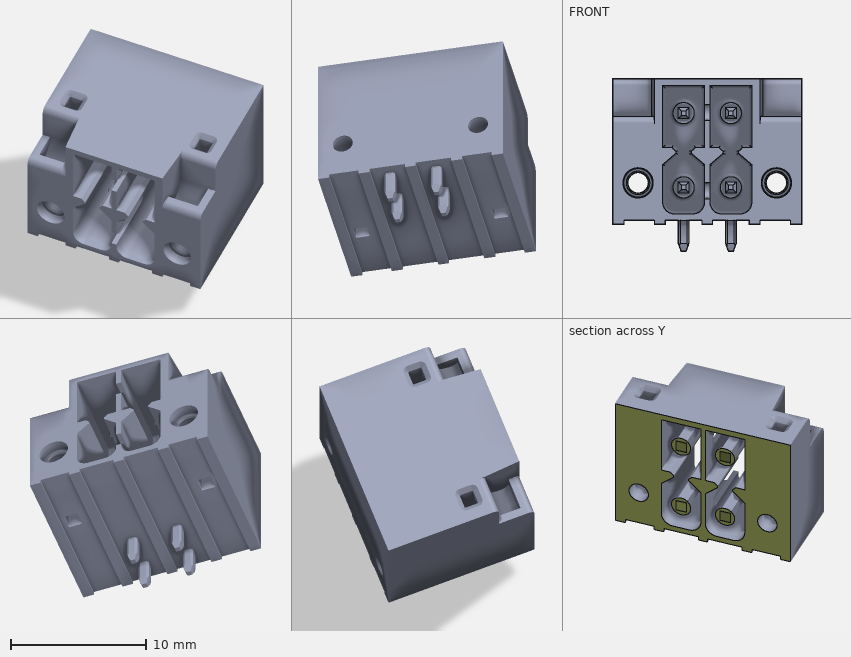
import cadquery as cq
import math


width = 14.0
depth = 11.6
height = 10.8
half_width = width / 2

foot_height = 0.3
middle_foot_half = 0.39
inner_foot_near = 3.1
inner_foot_far = 3.92
outer_foot_inset = 0.84

step_depth = 2.8
step_floor_z = height - step_depth
step_round = 0.5
tongue_half_front = 3.92
tongue_half_back = 4.15

scoop_side_wall = 0.59
scoop_radius = 1.4
scoop_lip_radius = 0.48
scoop_front_y = 0.87

square_hole_x = 5.25
square_hole_y = 4.52
square_hole_size = 1.06
square_hole_round = 0.08
square_hole_chamfer = 0.35
mouth_overrun = 0.14

screw_x = 5.12
screw_z = 3.08
screw_hole_diameter = 1.51
bore_diameter = 2.24
bore_depth = 0.84
insert_diameter = 2.13
insert_length = 2.8
insert_chamfer = 0.11

pitch_x = 3.5
column_xs = (-pitch_x / 2, pitch_x / 2)
chamber_half = 1.55
chamber_depth = 7.0
chamber_top_z = 10.28
chamber_bottom_z = 0.77
chamber_corner_radius = 0.9
chamber_floor_fillet = 0.21
tooth_top_z = 5.68
tooth_flat = 0.7
tooth_reach = 0.98
tooth_tip_height = 0.14
tooth_root_z = 4.42

row_pitch = 5.5
lower_row_z = 2.75
upper_row_z = lower_row_z + row_pitch
lead_y_front = 7.98
lead_y_back = 10.47
pin_size = 0.8
pin_front_y = 3.5
pin_tip_size = 0.34
pin_tip_length = 0.42
lead_bottom_z = -2.0
lead_chamfer = 0.15
lead_tip_length = 0.6
lead_tip_size = 0.36
row_zs_and_lead_ys = ((lower_row_z, lead_y_front), (upper_row_z, lead_y_back))

collar_radius = 0.78
collar_fillet = 0.28
collar_height = 0.42

slot_height = 1.2
slot_depth = 5.04
slot_zs = (2.49, 8.29)


def box(x0, x1, y0, y1, z0, z1):
    """Box between two opposite corners."""
    return cq.Workplane("XY").box(x1 - x0, y1 - y0, z1 - z0, centered=False).translate((x0, y0, z0))


def frustum(plane, start_size, end_size, length):
    """Square frustum that narrows over a length along the normal of its plane."""
    return (
        cq.Workplane(plane)
        .rect(start_size, start_size)
        .workplane(offset=length)
        .rect(end_size, end_size)
        .loft(ruled=True)
    )


def along_y(y):
    """Plane at depth y whose normal points into the housing; local x is -X, local y is Z."""
    return cq.Workplane(cq.Plane(origin=(0, y, 0), xDir=(-1, 0, 0), normal=(0, 1, 0)))


def mirrored_pair(shape):
    """The shape together with its mirror image across the middle plane X = 0."""
    return shape.union(shape.mirror("YZ"))


def foot_gaps():
    """Clearances between the feet, running from front to back."""
    spans = ((middle_foot_half, inner_foot_near), (inner_foot_far, half_width - outer_foot_inset))
    gaps = cq.Workplane("XY")
    for near, far in spans:
        gaps = gaps.union(mirrored_pair(box(near, far, 0, depth, 0, foot_height)))
    return gaps


def flange_step():
    """Space above the right flange: a rounded step profile, cut off by the slanted tongue side."""
    back_y = step_depth + step_round
    corner = step_round * (1 - math.sqrt(0.5))
    profile = (
        cq.Workplane("YZ")
        .moveTo(0, height)
        .lineTo(0, step_floor_z - step_round)
        .threePointArc((corner, step_floor_z - corner), (step_round, step_floor_z))
        .lineTo(step_depth, step_floor_z)
        .lineTo(step_depth, height - step_round)
        .threePointArc((step_depth + corner, height - corner), (back_y, height))
        .close()
        .extrude(half_width)
    )
    return profile.intersect(beside_tongue())


def beside_tongue():
    """Full-height region to the right of the tongue, whose side slants as far back as the step wall."""
    return (
        cq.Workplane("XY")
        .moveTo(tongue_half_front, 0)
        .lineTo(half_width, 0)
        .lineTo(half_width, depth)
        .lineTo(tongue_half_back, depth)
        .lineTo(tongue_half_back, step_depth)
        .close()
        .extrude(height)
    )


def scoop():
    """Recess in the right step floor with a quarter-round back and a short sloping front lip."""
    bottom_y = step_depth - scoop_radius
    bottom_z = step_floor_z - scoop_radius
    back_mid = scoop_radius * math.sqrt(0.5)
    lip_angle = math.radians(45)
    lip_y = bottom_y - scoop_lip_radius * math.sin(lip_angle)
    lip_z = bottom_z + scoop_lip_radius * (1 - math.cos(lip_angle))
    lip_mid_y = bottom_y - scoop_lip_radius * math.sin(lip_angle / 2)
    lip_mid_z = bottom_z + scoop_lip_radius * (1 - math.cos(lip_angle / 2))
    slope_top_z = lip_z + (lip_y - scoop_front_y) * math.tan(lip_angle)
    profile = (
        cq.Workplane("YZ")
        .moveTo(step_depth, step_floor_z)
        .threePointArc((bottom_y + back_mid, step_floor_z - back_mid), (bottom_y, bottom_z))
        .threePointArc((lip_mid_y, lip_mid_z), (lip_y, lip_z))
        .lineTo(scoop_front_y, slope_top_z)
        .lineTo(scoop_front_y, step_floor_z)
        .close()
        .extrude(half_width - scoop_side_wall)
    )
    return profile.intersect(beside_tongue())


def rounded_square(size, corner_radius, length):
    """Upright square prism with rounded corners, standing on Z = 0."""
    return cq.Workplane("XY").rect(size, size).extrude(length).edges("|Z").fillet(corner_radius)


def square_hole():
    """Right vertical through hole with rounded corners and a flared upper mouth."""
    hole = rounded_square(square_hole_size, square_hole_round, height)
    mouth_size = square_hole_size + 2 * square_hole_chamfer
    mouth_round = square_hole_round + square_hole_chamfer
    mouth = (
        rounded_square(mouth_size, mouth_round, square_hole_chamfer + mouth_overrun)
        .faces("<Z")
        .chamfer(square_hole_chamfer)
        .translate((0, 0, height - square_hole_chamfer))
    )
    return hole.union(mouth).translate((square_hole_x, square_hole_y, 0))


def screw_bore():
    """Right screw bore: wide mouth, seat for the insert and a narrow hole out of the back."""
    bore = along_y(0).circle(bore_diameter / 2).extrude(bore_depth)
    seat = along_y(bore_depth).circle(insert_diameter / 2).extrude(insert_length)
    hole = along_y(0).circle(screw_hole_diameter / 2).extrude(depth)
    return bore.union(seat).union(hole).translate((screw_x, 0, screw_z))


def chamber():
    """Keyed contact chamber centred on X = 0, with a pair of teeth and a filleted floor."""
    tip_x = chamber_half - tooth_reach
    flat_x = chamber_half - tooth_flat
    tip_top_z = tooth_top_z - (tooth_reach - tooth_flat)
    tip_bottom_z = tip_top_z - tooth_tip_height
    corner_x = chamber_half - chamber_corner_radius
    corner_z = chamber_bottom_z + chamber_corner_radius
    corner_mid = chamber_corner_radius * math.sqrt(0.5)
    return (
        along_y(0)
        .moveTo(-corner_x, chamber_bottom_z)
        .lineTo(corner_x, chamber_bottom_z)
        .threePointArc((corner_x + corner_mid, corner_z - corner_mid), (chamber_half, corner_z))
        .lineTo(chamber_half, tooth_root_z)
        .lineTo(tip_x, tip_bottom_z)
        .lineTo(tip_x, tip_top_z)
        .lineTo(flat_x, tooth_top_z)
        .lineTo(chamber_half, tooth_top_z)
        .lineTo(chamber_half, chamber_top_z)
        .lineTo(-chamber_half, chamber_top_z)
        .lineTo(-chamber_half, tooth_top_z)
        .lineTo(-flat_x, tooth_top_z)
        .lineTo(-tip_x, tip_top_z)
        .lineTo(-tip_x, tip_bottom_z)
        .lineTo(-chamber_half, tooth_root_z)
        .lineTo(-chamber_half, corner_z)
        .threePointArc((-corner_x - corner_mid, corner_z - corner_mid), (-corner_x, chamber_bottom_z))
        .close()
        .extrude(chamber_depth)
        .faces(">Y")
        .edges()
        .fillet(chamber_floor_fillet)
    )


def collar():
    """Collar on the chamber floor, flaring into the floor with a concave fillet."""
    flare = collar_fillet * (1 - math.sqrt(0.5))
    return (
        cq.Workplane("XY")
        .moveTo(0, chamber_depth - collar_height)
        .lineTo(collar_radius, chamber_depth - collar_height)
        .lineTo(collar_radius, chamber_depth - collar_fillet)
        .threePointArc(
            (collar_radius + flare, chamber_depth - flare),
            (collar_radius + collar_fillet, chamber_depth),
        )
        .lineTo(0, chamber_depth)
        .close()
        .revolve(360, (0, 0, 0), (0, 1, 0))
    )


def wall_slot(z):
    """Round-ended slot through the wall between the chambers, open at the front."""
    half_height = slot_height / 2
    round_y = slot_depth - half_height
    wall_half = pitch_x / 2 - chamber_half
    return (
        cq.Workplane("YZ", origin=(-wall_half, 0, z))
        .moveTo(0, -half_height)
        .lineTo(round_y, -half_height)
        .threePointArc((slot_depth, 0), (round_y, half_height))
        .lineTo(0, half_height)
        .close()
        .extrude(2 * wall_half)
    )


def make_contact(x, z, lead_y):
    """Right-angled square contact: a pointed pin toward the front and a lead down through the base."""
    half = pin_size / 2
    shank_y = pin_front_y + pin_tip_length
    leg = box(-half, half, shank_y, lead_y + half, z - half, z + half)
    pin_tip_base = cq.Plane(origin=(0, shank_y, z), xDir=(1, 0, 0), normal=(0, -1, 0))
    pin_tip = frustum(pin_tip_base, pin_size, pin_tip_size, pin_tip_length)
    lead_tip_z = lead_bottom_z + lead_tip_length
    lead_tip_base = cq.Plane(origin=(0, lead_y, lead_tip_z), xDir=(1, 0, 0), normal=(0, 0, -1))
    lead_tip = frustum(lead_tip_base, pin_size, lead_tip_size, lead_tip_length)
    chamfered = (
        box(-half, half, lead_y - half, lead_y + half, lead_bottom_z, z - half)
        .edges("|Z")
        .chamfer(lead_chamfer)
    )
    shank = chamfered.intersect(box(-half, half, 0, depth, lead_tip_z, height))
    lead = shank.union(chamfered.intersect(lead_tip))
    return leg.union(pin_tip).union(lead).translate((x, 0, 0))


def make_insert(x):
    """Screw insert: a round bush with a chamfered hole, set back in its bore."""
    return (
        along_y(bore_depth)
        .circle(insert_diameter / 2)
        .circle(screw_hole_diameter / 2)
        .extrude(insert_length)
        .faces("<Y")
        .edges(cq.selectors.RadiusNthSelector(0))
        .chamfer(insert_chamfer)
        .translate((x, 0, screw_z))
    )


def make_housing(contacts):
    """Housing with all its openings, including the passages filled by the contacts."""
    body = box(-half_width, half_width, 0, depth, 0, height).cut(foot_gaps())
    for opening in (flange_step(), scoop(), square_hole(), screw_bore()):
        body = body.cut(mirrored_pair(opening))
    for x in column_xs:
        body = body.cut(chamber().translate((x, 0, 0)))
        for z in (lower_row_z, upper_row_z):
            body = body.union(collar().translate((x, 0, z)))
    for z in slot_zs:
        body = body.cut(wall_slot(z))
    for contact in contacts:
        body = body.cut(contact)
    return body


contacts = [make_contact(x, z, lead_y) for x in column_xs for z, lead_y in row_zs_and_lead_ys]
inserts = [make_insert(x) for x in (-screw_x, screw_x)]
housing = make_housing(contacts)

result = cq.Compound.makeCompound(
    [
        housing.val(),
        *[contact.val() for contact in contacts],
        *[insert.val() for insert in inserts],
    ]
)